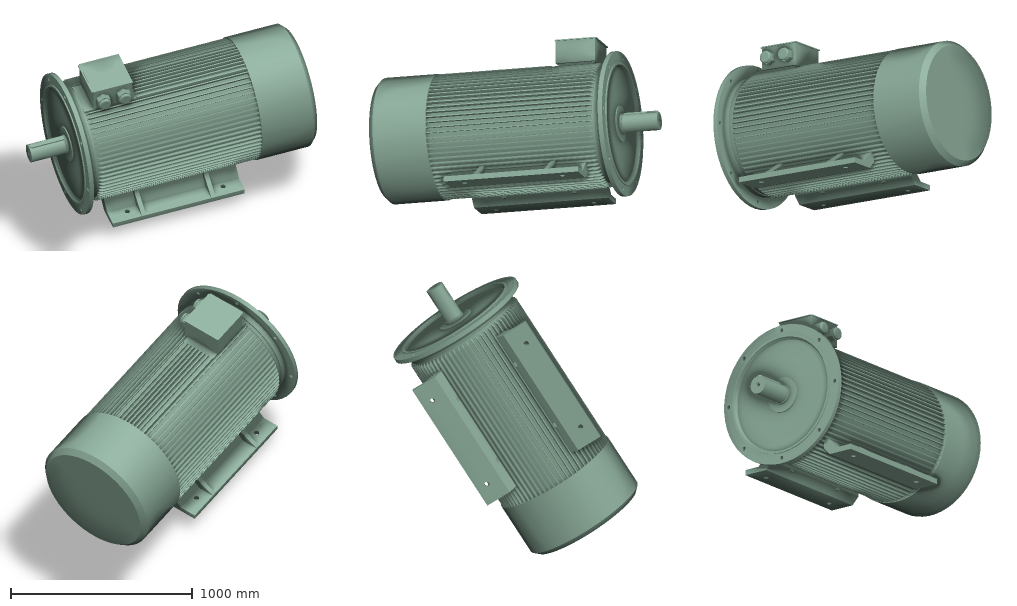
import cadquery as cq


shaft_d = 100.0
shaft_length = 210.0
shoulder_d = 110.0
centre_hole_d = 20.0
centre_hole_depth = 47.0
centre_sink_d = 28.0
centre_sink_depth = 5.0
key_width = 28.0
key_top_z = 57.0
key_depth = 15.0
key_clearance = 10.0
key_length = shaft_length - key_clearance

flange_d = 800.0
flange_thickness = 25.0
flange_hole_d = 24.0
flange_hole_count = 8
bolt_circle_d = 740.0
spigot_d = 680.0
spigot_height = 6.0
recess_rim_d = 655.0
recess_wall_d = 650.0
recess_chamfer_depth = 10.0
recess_floor_d = 633.0
recess_floor_y = 14.0
hub_d = 200.0
hub_height = 8.0
shield_d = 670.0
shield_end_y = 58.0
neck_d = 656.0
neck_end_y = 78.0

fin_d = 688.0
fin_root_d = 650.0
fin_chamfer = 17.0
fin_count = 72
fin_thickness = 6.0
first_fin = 4
pad_z = 323.0
pad_half_width = 100.0
ledge_half_width = 111.0
ledge_z = 310.0

cover_d = 699.0
cover_start_y = 1028.0
cover_end_y = 1360.0
cover_chamfer = 28.0

rib_top_r = 347.0
rib_front_y = 382.0
rib_front_bevel = 11.0
rib_pitch = 24.0
rib_thickness = 6.0
inner_rib_count = 7

box_half_width = 111.0
box_front_y = 125.0
box_back_y = 352.0
box_bottom_z = 340.0
box_neck_inset = 19.0
lid_top_z = 474.0
lid_thickness = 6.0
lid_overhang = 5.0
lid_lip_length = 10.0
lid_lip_thickness = 5.0

gland_z = 400.0
gland_ys = (179.0, 298.0)
gland_hex_d = 80.0
gland_hex_end_x = 146.0
gland_neck_d = 57.0
gland_cap_start_x = 150.0
gland_cap_d = 69.0
gland_cap_end_x = 165.0
gland_cap_fillet = 10.0

foot_half_span = 367.0
foot_bottom_z = -353.0
foot_thickness = 30.0
foot_inner_x = 223.0
foot_front_y = 148.0
foot_back_y = 918.0
web_outer_x = 276.0
web_root_x = 180.0
foot_hole_d = 28.0
foot_hole_x = 305.0
foot_hole_ys = (255.0, 815.0)
gusset_ys = (330.0, 736.0)
gusset_thickness = 25.0
gusset_top_x = 240.0
gusset_top_z = -246.0


def box_between(x0, x1, y0, y1, z0, z1):
    """Axis-aligned block between two opposite corners."""
    return cq.Workplane("XY").box(x1 - x0, y1 - y0, z1 - z0, centered=False).translate((x0, y0, z0))


def cylinder_y(diameter, y0, y1):
    """Cylinder on the motor axis from y0 to y1."""
    return cq.Workplane("XZ", origin=(0, y0, 0)).circle(diameter / 2).extrude(y0 - y1)


def prism_y(points, y0, y1):
    """Polygon in X and Z, extruded from y0 to y1."""
    return cq.Workplane("XZ", origin=(0, y0, 0)).polyline(points).close().extrude(y0 - y1)


def prism_x(points, x0, x1):
    """Polygon in Y and Z, extruded from x0 to x1."""
    return cq.Workplane("YZ", origin=(x0, 0, 0)).polyline(points).close().extrude(x1 - x0)


def make_frame():
    """Frame tube with thin radial fins and a solid stepped pad along the top."""
    fin_pitch = 360 / fin_count
    blade_top_z = fin_d / 2 + fin_thickness
    half = fin_thickness / 2
    blade = box_between(-half, half, neck_end_y, cover_start_y, fin_root_d / 4, blade_top_z).val()
    fin_numbers = range(first_fin, fin_count - first_fin + 1)
    blades = [blade.rotate(cq.Vector(), cq.Vector(0, 1, 0), i * fin_pitch) for i in fin_numbers]
    fins = cq.Workplane(cq.Compound.makeCompound(blades))
    envelope = cylinder_y(fin_d, neck_end_y, cover_start_y).faces("<Y").chamfer(fin_chamfer)
    pad = box_between(-pad_half_width, pad_half_width, neck_end_y, cover_start_y, 0, pad_z)
    ledge = box_between(-ledge_half_width, ledge_half_width, neck_end_y, cover_start_y, 0, ledge_z)
    top_gap = box_between(-pad_half_width, pad_half_width, neck_end_y, cover_start_y, pad_z, fin_d)
    tube = cylinder_y(fin_root_d, neck_end_y, cover_start_y).cut(top_gap)
    return tube.union(envelope.intersect(fins)).union(ledge).union(pad)


def make_ribs():
    """Raised ribs along the pad, from behind the terminal box to the fan cover."""
    outer_rib_x = pad_half_width - rib_thickness / 2
    inner_rib_xs = [(i - (inner_rib_count - 1) / 2) * rib_pitch for i in range(inner_rib_count)]
    envelope = cylinder_y(2 * rib_top_r, rib_front_y, cover_start_y)
    front_bevel = prism_x(
        [
            (rib_front_y, pad_z),
            (rib_front_y + rib_front_bevel, rib_top_r),
            (cover_start_y, rib_top_r),
            (cover_start_y, pad_z),
        ],
        -pad_half_width,
        pad_half_width,
    )
    envelope = envelope.intersect(front_bevel)
    half = rib_thickness / 2
    ribs = [
        box_between(x - half, x + half, rib_front_y, cover_start_y, pad_z, rib_top_r).val()
        for x in [-outer_rib_x, *inner_rib_xs, outer_rib_x]
    ]
    return envelope.intersect(cq.Workplane(cq.Compound.makeCompound(ribs)))


def make_flange():
    """Flange, end shield and neck, with the spigot recess and the bolt holes."""
    flange = cylinder_y(flange_d, 0, flange_thickness)
    flange = flange.union(cylinder_y(spigot_d, -spigot_height, flange_thickness))
    flange = flange.union(cylinder_y(shield_d, flange_thickness, shield_end_y))
    flange = flange.union(cylinder_y(neck_d, shield_end_y, neck_end_y))
    recess = (
        cq.Workplane("XY")
        .moveTo(0, -spigot_height)
        .lineTo(recess_rim_d / 2, -spigot_height)
        .lineTo(recess_wall_d / 2, recess_chamfer_depth - spigot_height)
        .lineTo(recess_floor_d / 2, recess_floor_y)
        .lineTo(0, recess_floor_y)
        .close()
        .revolve(360, (0, 0, 0), (0, 1, 0))
    )
    holes = (
        cq.Workplane("XZ")
        .polarArray(bolt_circle_d / 2, 0, 360, flange_hole_count)
        .circle(flange_hole_d / 2)
        .extrude(-flange_thickness)
    )
    hub = cylinder_y(hub_d, recess_floor_y - hub_height, flange_thickness)
    return flange.cut(recess).cut(holes).union(hub)


def make_shaft():
    """Shaft with shoulder, key and centre hole."""
    shaft = cylinder_y(shaft_d, -shaft_length, shield_end_y)
    shaft = shaft.union(cylinder_y(shoulder_d, -spigot_height, shield_end_y))
    shaft = shaft.cut(cylinder_y(centre_hole_d, -shaft_length, centre_hole_depth - shaft_length))
    shaft = shaft.cut(cylinder_y(centre_sink_d, -shaft_length, centre_sink_depth - shaft_length))
    key = (
        cq.Workplane("XY", origin=(0, -shaft_length / 2, key_top_z))
        .slot2D(key_length, key_width, 90)
        .extrude(-key_depth)
    )
    return shaft.union(key)


def make_terminal_box():
    """Box on a tapered neck, with an overhanging lid and a thin lip along the lid front."""
    lid_bottom_z = lid_top_z - lid_thickness
    box = box_between(-box_half_width, box_half_width, box_front_y, box_back_y, box_bottom_z, lid_bottom_z)
    neck = prism_x(
        [
            (box_front_y + box_neck_inset, pad_z),
            (box_front_y, box_bottom_z),
            (box_back_y, box_bottom_z),
            (box_back_y - box_neck_inset, pad_z),
        ],
        -pad_half_width,
        pad_half_width,
    )
    lid_half_width = box_half_width + lid_overhang
    lid_back_y = box_back_y + lid_overhang
    lid_lip_z = lid_bottom_z + lid_lip_thickness
    lip_front_y = box_front_y - lid_lip_length
    lid = box_between(-lid_half_width, lid_half_width, box_front_y, lid_back_y, lid_bottom_z, lid_top_z)
    lip = box_between(-box_half_width, box_half_width, lip_front_y, box_front_y, lid_bottom_z, lid_lip_z)
    return box.union(neck).union(lid).union(lip)


def make_gland(y):
    """Cable gland: hexagon nut, neck and rounded cap."""
    nut = (
        cq.Workplane("YZ", origin=(box_half_width, y, gland_z))
        .transformed(rotate=(0, 0, 90))
        .polygon(6, gland_hex_d)
        .extrude(gland_hex_end_x - box_half_width)
    )
    neck = (
        cq.Workplane("YZ", origin=(gland_hex_end_x, y, gland_z))
        .circle(gland_neck_d / 2)
        .extrude(gland_cap_start_x - gland_hex_end_x)
    )
    cap = (
        cq.Workplane("YZ", origin=(gland_cap_start_x, y, gland_z))
        .circle(gland_cap_d / 2)
        .extrude(gland_cap_end_x - gland_cap_start_x)
        .faces(">X")
        .edges()
        .fillet(gland_cap_fillet)
    )
    return nut.union(neck).union(cap)


def make_foot():
    """Foot on the +X side: base plate, sloping web, gussets and mounting holes."""
    plate_top_z = foot_bottom_z + foot_thickness
    web_root_z = plate_top_z + web_outer_x - web_root_x
    outline = [
        (foot_inner_x, foot_bottom_z),
        (foot_half_span, foot_bottom_z),
        (foot_half_span, plate_top_z),
        (web_outer_x, plate_top_z),
        (web_root_x, web_root_z),
        (web_root_x, foot_bottom_z + foot_inner_x - web_root_x),
    ]
    foot = prism_y(outline, foot_front_y, foot_back_y)
    gusset_outline = [
        (web_root_x, plate_top_z),
        (foot_half_span, plate_top_z),
        (gusset_top_x, gusset_top_z),
        (web_root_x, gusset_top_z),
    ]
    for y in gusset_ys:
        half = gusset_thickness / 2
        foot = foot.union(prism_y(gusset_outline, y - half, y + half))
    holes = (
        cq.Workplane("XY", origin=(0, 0, foot_bottom_z))
        .pushPoints([(foot_hole_x, y) for y in foot_hole_ys])
        .circle(foot_hole_d / 2)
        .extrude(foot_thickness)
    )
    return foot.cut(holes)


fan_cover = cylinder_y(cover_d, cover_start_y, cover_end_y).faces(">Y").chamfer(cover_chamfer)
right_foot = make_foot()

result = make_frame().union(fan_cover).union(make_ribs()).union(make_flange()).union(make_shaft())
result = result.union(right_foot).union(right_foot.mirror("YZ")).union(make_terminal_box())
for gland_y in gland_ys:
    result = result.union(make_gland(gland_y))